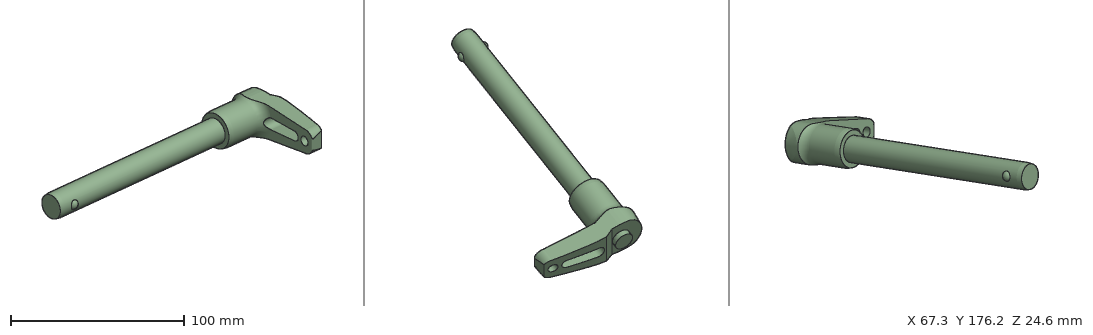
import cadquery as cq
import math

LENGTH = 176.2
SHANK_DIAMETER = 16.0
SHANK_RADIUS = SHANK_DIAMETER / 2
TIP_RADIUS = 7.5
TIP_CHAMFER_LENGTH = 3.2
BUTTON_RADIUS = 5.8

COLLAR_DIAMETER = 23.5
COLLAR_RADIUS = COLLAR_DIAMETER / 2
COLLAR_STEP_RADIUS = 11.5
COLLAR_END_RADIUS = 11.1
COLLAR_TAPER_START = -38.5
COLLAR_STEP = -40.5
COLLAR_END = -42.1

BALL_RADIUS = 3.2
BALL_REACH = 9.7
BALL_Y = -165.0

HEAD_HALF_WIDTH = 12.3
HEAD_END_X = -15.2
HEAD_ARC_END_X = -4.8
HEAD_ARC_END_HALF_WIDTH = 12.2
HEAD_FLAT_START_X = -1.5
HEAD_TOP = -2.8
HEAD_DIP = -3.5
HEAD_TAPER_RADIUS = 14.0

UNDERSIDE = -13.0
FLARE_RADIUS = 6.2
FLARE_START = UNDERSIDE - FLARE_RADIUS

LEVER_END_X = 52.2
LEVER_TOP_END_X = 50.7
LEVER_TAPER_START_X = 1.0
LEVER_SLOPE_START_X = 14.0
LEVER_CORNER_X = 45.8
LEVER_CORNER_HALF_WIDTH = 7.8
LEVER_END_HALF_WIDTH = 3.2
LEVER_CORNER_MID = (50.0, 6.3)
LEVER_BOTTOM_END = -15.0
LEVER_EDGE_RADIUS = 0.7
CREST_START = (11.5, -0.7)
CREST_END = (17.6, -0.9)
LEVER_TOP_MID = (32.6, -2.8)
LEVER_TOP_END = -6.0
DIP_END_X = 6.0

SLOT_START_X = 12.9
SLOT_END_X = 39.8
SLOT_START_RADIUS = 3.9
SLOT_END_RADIUS = 3.2
HOLE_X = 45.3
HOLE_RADIUS = 3.0


def revolve_about_y(profile):
    return profile.close().revolve(360, (0, 0, 0), (0, 1, 0))


def make_pin():
    """Button, shank and chamfered tip."""
    profile = (
        cq.Workplane("XY")
        .lineTo(BUTTON_RADIUS, 0)
        .lineTo(BUTTON_RADIUS, UNDERSIDE)
        .lineTo(SHANK_RADIUS, UNDERSIDE)
        .lineTo(SHANK_RADIUS, -LENGTH + TIP_CHAMFER_LENGTH)
        .lineTo(TIP_RADIUS, -LENGTH)
        .lineTo(0, -LENGTH)
    )
    return revolve_about_y(profile)


def make_collar():
    """Collar with a concave flare where it meets the lever underside."""
    flare_outer = COLLAR_RADIUS + FLARE_RADIUS
    flare_mid = FLARE_RADIUS * math.sqrt(0.5)
    profile = (
        cq.Workplane("XY")
        .moveTo(0, UNDERSIDE)
        .lineTo(flare_outer, UNDERSIDE)
        .threePointArc(
            (flare_outer - flare_mid, FLARE_START + flare_mid),
            (COLLAR_RADIUS, FLARE_START),
        )
        .lineTo(COLLAR_RADIUS, COLLAR_TAPER_START)
        .lineTo(COLLAR_STEP_RADIUS, COLLAR_STEP)
        .lineTo(COLLAR_END_RADIUS, COLLAR_END)
        .lineTo(0, COLLAR_END)
    )
    return revolve_about_y(profile)


def make_handle_envelope():
    """Lever outline in X and Z, extruded past the collar end."""
    corner_mid_x, corner_mid_z = LEVER_CORNER_MID
    return (
        cq.Workplane("XZ")
        .moveTo(HEAD_ARC_END_X, HEAD_ARC_END_HALF_WIDTH)
        .lineTo(HEAD_FLAT_START_X, HEAD_HALF_WIDTH)
        .lineTo(LEVER_TAPER_START_X, HEAD_HALF_WIDTH)
        .lineTo(LEVER_CORNER_X, LEVER_CORNER_HALF_WIDTH)
        .threePointArc(LEVER_CORNER_MID, (LEVER_END_X, LEVER_END_HALF_WIDTH))
        .lineTo(LEVER_END_X, -LEVER_END_HALF_WIDTH)
        .threePointArc((corner_mid_x, -corner_mid_z), (LEVER_CORNER_X, -LEVER_CORNER_HALF_WIDTH))
        .lineTo(LEVER_TAPER_START_X, -HEAD_HALF_WIDTH)
        .lineTo(HEAD_FLAT_START_X, -HEAD_HALF_WIDTH)
        .lineTo(HEAD_ARC_END_X, -HEAD_ARC_END_HALF_WIDTH)
        .threePointArc((HEAD_END_X, 0), (HEAD_ARC_END_X, HEAD_ARC_END_HALF_WIDTH))
        .close()
        .extrude(-COLLAR_END)
    )


def make_lever_profile():
    """Side shape of the lever, with its raised crest and sloped end."""
    return (
        cq.Workplane("XY")
        .moveTo(HEAD_END_X, UNDERSIDE)
        .lineTo(HEAD_END_X, HEAD_TOP)
        .lineTo(-DIP_END_X, HEAD_DIP)
        .lineTo(DIP_END_X, HEAD_DIP)
        .lineTo(*CREST_START)
        .lineTo(*CREST_END)
        .threePointArc(LEVER_TOP_MID, (LEVER_TOP_END_X, LEVER_TOP_END))
        .lineTo(LEVER_END_X, LEVER_BOTTOM_END)
        .lineTo(LEVER_SLOPE_START_X, UNDERSIDE)
        .close()
        .extrude(HEAD_HALF_WIDTH, both=True)
        .edges("|Z and >X")
        .fillet(LEVER_EDGE_RADIUS)
    )


def make_head_taper_cutter():
    """Material outside a cone that trims the rounded end of the head."""
    outside = 2 * HEAD_HALF_WIDTH
    ring = revolve_about_y(
        cq.Workplane("XY")
        .moveTo(-HEAD_END_X, UNDERSIDE)
        .lineTo(HEAD_TAPER_RADIUS, HEAD_TOP)
        .lineTo(HEAD_TAPER_RADIUS, 0)
        .lineTo(outside, 0)
        .lineTo(outside, UNDERSIDE)
    )
    head_side = cq.Workplane("XY").box(
        outside, LENGTH, 2 * outside, centered=(False, True, True)
    ).translate((-outside, 0, 0))
    return ring.intersect(head_side)


def make_lever_openings():
    """Tapered slot with rounded ends, and the round hole near the lever end."""
    start_center = SLOT_START_X + SLOT_START_RADIUS
    end_center = SLOT_END_X - SLOT_END_RADIUS
    slot = (
        cq.Workplane("XZ")
        .moveTo(start_center, SLOT_START_RADIUS)
        .lineTo(end_center, SLOT_END_RADIUS)
        .threePointArc((SLOT_END_X, 0), (end_center, -SLOT_END_RADIUS))
        .lineTo(start_center, -SLOT_START_RADIUS)
        .threePointArc((SLOT_START_X, 0), (start_center, SLOT_START_RADIUS))
        .close()
        .extrude(-COLLAR_END)
    )
    hole = cq.Workplane("XZ").center(HOLE_X, 0).circle(HOLE_RADIUS).extrude(-COLLAR_END)
    return slot.union(hole)


def make_balls():
    """Locking balls protruding from opposite sides of the shank."""
    center_x = BALL_REACH - BALL_RADIUS
    return (
        cq.Workplane("XY")
        .pushPoints([(-center_x, BALL_Y), (center_x, BALL_Y)])
        .sphere(BALL_RADIUS)
    )


handle = make_lever_profile().union(make_collar()).intersect(make_handle_envelope())
handle = handle.cut(make_head_taper_cutter()).cut(make_lever_openings())
result = handle.union(make_pin()).union(make_balls())